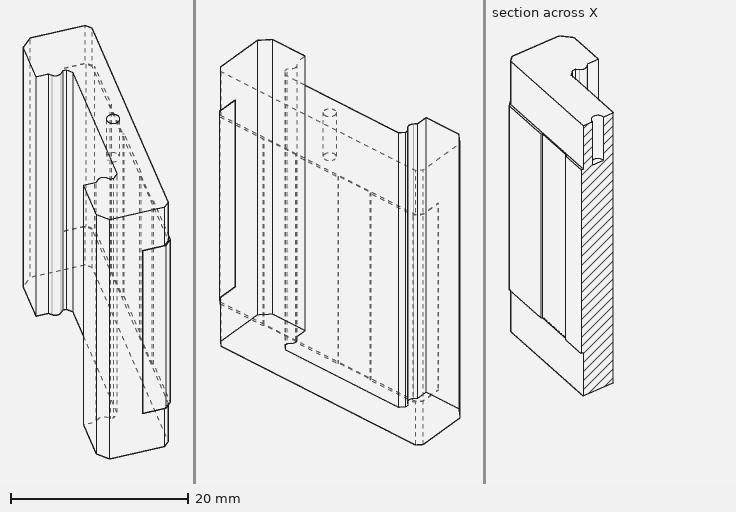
import cadquery as cq
import math

width = 30.0
height = 8.6
length = 39.0

block_length = 26.52
block_rise = 0.27
block_overhang = 0.06
block_side_height = 3.5
block_chamfer = 0.78

body_width = width - 2 * block_overhang
body_height = height - block_rise
back_chamfer = 0.62
foot_chamfer = 1.2

channel_width = 17.82
channel_depth = 4.17
channel_chamfer = 0.6

ridge_center = 2.35
ridge_height = 0.55
ridge_radius = 0.75

groove_offset = 5.5
groove_width = 4.75
groove_depth = 0.15

hole_diameter = 1.5
hole_from_back = 2.3
hole_depth = (length - block_length) / 2

front_y = -height / 2
back_y = height / 2


def make_body():
    """Full-length body with chamfered back edges and feet."""
    body = cq.Workplane("XY").box(body_width, body_height, length)
    body = body.translate((0, -block_rise / 2, 0))
    body = body.edges("|Z and >Y").chamfer(back_chamfer)
    return body.edges("|Z and <Y").chamfer(foot_chamfer)


def make_block():
    """Proud middle block with chamfered back edges."""
    block = cq.Workplane("XY").box(width, block_side_height, block_length)
    block = block.translate((0, back_y - block_side_height / 2, 0))
    return block.edges("|Z and >Y").chamfer(block_chamfer)


def make_channel():
    """Cutter for the channel, leaving a ridge on each wall."""
    wall_x = channel_width / 2
    channel = (
        cq.Workplane("XY", origin=(0, front_y + channel_depth / 2, 0))
        .box(channel_width, channel_depth, length)
        .edges("|Z and >Y")
        .chamfer(channel_chamfer)
    )
    ridge = make_ridge(wall_x)
    return channel.cut(ridge).cut(ridge.mirror("YZ"))


def make_ridge(wall_x):
    """Ridge on the +X channel wall, its flanks tangent to the round tip."""
    ridge_y = front_y + ridge_center
    tip_x = wall_x - ridge_height
    arc_center_x = tip_x + ridge_radius
    tangent_step = ridge_radius / math.sqrt(2)
    flank_end_x = arc_center_x - tangent_step
    half_base = tangent_step + wall_x - flank_end_x
    return (
        cq.Workplane("XY", origin=(0, 0, -length / 2))
        .moveTo(wall_x, ridge_y - half_base)
        .lineTo(flank_end_x, ridge_y - tangent_step)
        .threePointArc((tip_x, ridge_y), (flank_end_x, ridge_y + tangent_step))
        .lineTo(wall_x, ridge_y + half_base)
        .close()
        .extrude(length)
    )


def make_grooves():
    """Cutter for the pair of grooves along the back of the block."""
    return (
        cq.Workplane("XY")
        .pushPoints([(-groove_offset, back_y), (groove_offset, back_y)])
        .box(groove_width, 2 * groove_depth, block_length)
    )


def make_grease_hole():
    """Cutter for the blind hole in the top end."""
    return (
        cq.Workplane("XY", origin=(0, back_y - hole_from_back, length / 2))
        .circle(hole_diameter / 2)
        .extrude(-hole_depth)
    )


result = make_body().union(make_block())
result = result.cut(make_channel()).cut(make_grooves()).cut(make_grease_hole())